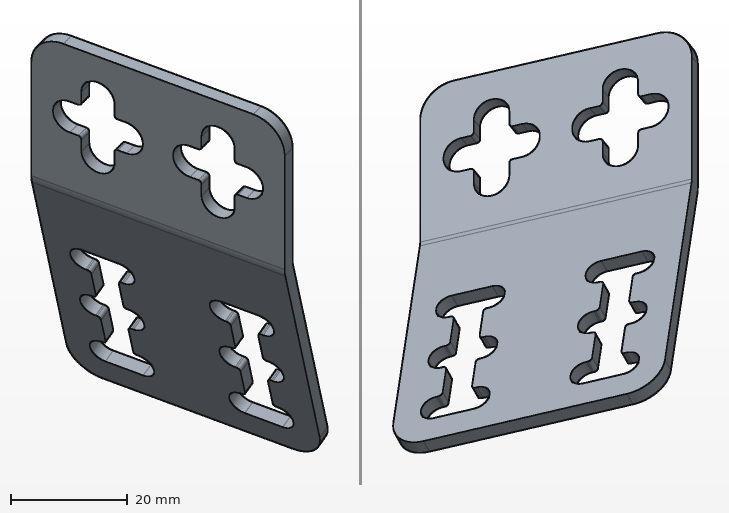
import cadquery as cq
import math

width = 50.8
height = 80.8
thickness = 2.7
corner_radius = 6.4
upper_length = 30.95
bend_angle = 15.0
inner_bend_radius = 3.15

cross_spacing = 24.1
cross_drop = 15.3
cross_width = 18.0
cross_height = 19.4
cross_arm = 6.6
cross_corner_radius = 0.65

ladder_spacing = 28.0
stem_width = 5.5
rung_length = 12.85
rung_width = 5.25
rung_pitch = 12.45
rung_count = 3
last_rung_offset = 7.9
stem_corner_radius = 0.7
stem_length = (rung_count - 1) * rung_pitch

outer_bend_radius = inner_bend_radius + thickness
sin_bend = math.sin(math.radians(bend_angle))
cos_bend = math.cos(math.radians(bend_angle))
bend_axis_y = outer_bend_radius
bend_axis_z = height - upper_length
bend_end_z = bend_axis_z - outer_bend_radius * sin_bend
lower_length = bend_end_z / cos_bend


def bend_point(radius, angle):
    """(Y, Z) of the point on the bend at this radius, angle in degrees from the upper leg."""
    turn = math.radians(angle)
    return (bend_axis_y - radius * math.cos(turn), bend_axis_z - radius * math.sin(turn))


def leg_end(radius):
    """(Y, Z) of the lower end of the leg on the face that leaves the bend at this radius."""
    y, z = bend_point(radius, bend_angle)
    return (y + lower_length * sin_bend, z - lower_length * cos_bend)


def bent_sheet():
    """Side profile of the bent sheet, extruded over its width, with rounded outer corners."""
    sheet = (
        cq.Workplane("YZ")
        .moveTo(0, height)
        .lineTo(*bend_point(outer_bend_radius, 0))
        .threePointArc(
            bend_point(outer_bend_radius, bend_angle / 2),
            bend_point(outer_bend_radius, bend_angle),
        )
        .lineTo(*leg_end(outer_bend_radius))
        .lineTo(*leg_end(inner_bend_radius))
        .lineTo(*bend_point(inner_bend_radius, bend_angle))
        .threePointArc(
            bend_point(inner_bend_radius, bend_angle / 2),
            bend_point(inner_bend_radius, 0),
        )
        .lineTo(thickness, height)
        .close()
        .extrude(width / 2, both=True)
    )
    upper_corners = sheet.faces(">Z").edges("not |X")
    lower_corners = sheet.faces("<Z").edges("not |X")
    return upper_corners.add(lower_corners).fillet(corner_radius)


def round_inner_corners(opening, reach_x, reach_y, radius):
    """Round the through edges of an opening that lie within this reach of its centre."""
    near_center = cq.selectors.BoxSelector(
        (-reach_x, -reach_y, -thickness),
        (reach_x, reach_y, thickness),
    )
    return opening.edges("|Z").edges(near_center).fillet(radius)


def cross_opening():
    """Two crossed round-ended slots, centred on the origin and sunk below the XY plane."""
    flat = cq.Workplane("XY")
    across = flat.slot2D(cross_width, cross_arm).extrude(-thickness)
    upright = flat.slot2D(cross_height, cross_arm, 90).extrude(-thickness)
    corner_reach = cross_arm / 2 + cross_corner_radius
    return round_inner_corners(across.union(upright), corner_reach, corner_reach, cross_corner_radius)


def ladder_opening():
    """A stem crossed by round-ended rungs, centred on the origin and sunk below the XY plane."""
    flat = cq.Workplane("XY")
    stem = flat.rect(stem_width, stem_length).extrude(-thickness)
    rungs = flat.rarray(0.8, rung_pitch, 1, rung_count).slot2D(rung_length, rung_width).extrude(-thickness)
    corner_reach = stem_width / 2 + stem_corner_radius / 2
    return round_inner_corners(stem.union(rungs), corner_reach, stem_length / 2, stem_corner_radius)


def cut_pair(sheet, opening, face_plane, spacing, center_y):
    """Cut the opening through the sheet on both sides of the middle of a face."""
    for side in (-1, 1):
        place = face_plane.location * cq.Location(cq.Vector(side * spacing / 2, center_y, 0))
        sheet = sheet.cut(cq.Workplane(opening.val().moved(place)))
    return sheet


upper_face = cq.Plane(origin=(0, 0, 0), xDir=(1, 0, 0), normal=(0, -1, 0))
lower_face = cq.Plane(
    origin=(0, *leg_end(outer_bend_radius)),
    xDir=(1, 0, 0),
    normal=(0, -cos_bend, -sin_bend),
)

result = bent_sheet()
result = cut_pair(result, cross_opening(), upper_face, cross_spacing, height - cross_drop)
result = cut_pair(result, ladder_opening(), lower_face, ladder_spacing, last_rung_offset + stem_length / 2)